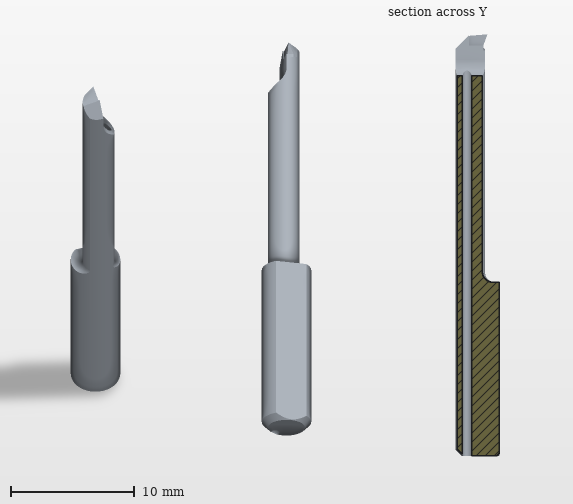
import cadquery as cq
import math

total_length = 34.0
margin = 3.0

shank_radius = 2.0
shank_length = 14.0
flat_x = -1.55
bottom_chamfer = 0.5

neck_x = 0.9
neck_radius = 1.29
root_fillet = 0.8

hole_diameter = 0.7
hole_x = 1.07
hole_y = 0.67

rake_y = 0.08
gullet_exit_z = 30.05
gullet_radius = 1.6
runout_angle = 45.0

top_relief_angle = 11.0
top_slope = 0.085
top_corner_x = 0.95
bevel_end_z = 32.8

tip_x = -0.58
flank_end_y = -0.84
flank_end_x = neck_x - math.sqrt(neck_radius**2 - flank_end_y**2)
notch_x = -0.27
undercut_z = 33.15
notch_floor_z = 32.7
notch_floor_slope = 0.4

cutting_edge_y = -0.02
chip_groove_end_x = 0.9
chip_groove_floor_z = 33.1


def make_shank():
    shank = cq.Workplane("XY").circle(shank_radius).extrude(shank_length)
    shank = shank.faces("<Z").chamfer(bottom_chamfer)
    flat_cut = cq.Workplane("XY").box(
        margin, 2 * margin, 2 * total_length, centered=(False, True, True)
    ).translate((flat_x - margin, 0, 0))
    return shank.cut(flat_cut)


def make_neck():
    """Revolved neck with its root fillet, trimmed to the shank diameter."""
    bend = root_fillet * (1 - math.sqrt(0.5))
    profile = (
        cq.Workplane("XZ")
        .moveTo(0, shank_length)
        .lineTo(neck_radius + root_fillet, shank_length)
        .threePointArc(
            (neck_radius + bend, shank_length + bend),
            (neck_radius, shank_length + root_fillet),
        )
        .lineTo(neck_radius, total_length)
        .lineTo(0, total_length)
        .close()
    )
    neck = profile.revolve(360, (0, 0, 0), (0, 1, 0)).translate((neck_x, 0, 0))
    envelope = cq.Workplane("XY").circle(shank_radius).extrude(total_length)
    return neck.intersect(envelope)


def make_gullet():
    """Vertical rake face, rounded into a 45 degree run-out, swept along X."""
    corner_z = gullet_exit_z + neck_radius - rake_y
    tangent = gullet_radius * math.tan(math.radians(runout_angle / 2))
    diagonal = tangent * math.cos(math.radians(runout_angle))
    end_y = neck_radius + margin
    return (
        cq.Workplane("YZ")
        .moveTo(rake_y, total_length + margin)
        .lineTo(rake_y, corner_z + tangent)
        .radiusArc((rake_y + diagonal, corner_z - diagonal), -gullet_radius)
        .lineTo(end_y, gullet_exit_z - margin)
        .lineTo(end_y, total_length + margin)
        .close()
        .extrude(2 * margin, both=True)
    )


def make_tooth_blank():
    """Block that carries the tip out past the neck surface."""
    height = total_length - undercut_z
    return cq.Workplane("XY").box(
        neck_x - tip_x, rake_y - flank_end_y, height, centered=False
    ).translate((tip_x, flank_end_y, undercut_z))


def make_notch():
    """Material removed beside and below the tooth, above the sloping floor."""
    outside_x = tip_x - margin
    top_z = total_length + margin
    flank_run = (flank_end_x - tip_x) / (cutting_edge_y - flank_end_y)
    beside_flank = (
        cq.Workplane("XY")
        .polyline([
            (tip_x, rake_y),
            (tip_x, cutting_edge_y),
            (tip_x + flank_run * margin, cutting_edge_y - margin),
            (outside_x, cutting_edge_y - margin),
            (outside_x, rake_y),
        ])
        .close()
        .extrude(top_z)
    )
    below_tip = (
        cq.Workplane("XZ")
        .polyline([
            (tip_x, top_z),
            (tip_x, total_length),
            (notch_x, undercut_z),
            (notch_x, 0),
            (outside_x, 0),
            (outside_x, top_z),
        ])
        .close()
        .extrude(margin, both=True)
    )
    above_floor = (
        cq.Workplane("YZ")
        .polyline([
            (margin, notch_floor_z - notch_floor_slope * margin),
            (-margin, notch_floor_z + notch_floor_slope * margin),
            (-margin, top_z),
            (margin, top_z),
        ])
        .close()
        .extrude(2 * margin, both=True)
    )
    return beside_flank.union(below_tip).intersect(above_floor)


def make_chip_groove():
    return cq.Workplane("XY").box(
        chip_groove_end_x - tip_x + margin, margin, margin, centered=False
    ).translate((tip_x - margin, cutting_edge_y, chip_groove_floor_z))


def make_top_cut():
    """Space above the top and the corner bevel, both falling towards -Y."""
    relief = math.tan(math.radians(top_relief_angle))
    corner_z = total_length - top_slope * (top_corner_x - tip_x)
    bevel_slope = (corner_z - bevel_end_z) / (shank_radius - top_corner_x)
    left_x = tip_x - margin
    right_x = shank_radius + margin
    ceiling_z = total_length + margin
    profile = [
        (left_x, total_length + top_slope * margin),
        (top_corner_x, corner_z),
        (right_x, corner_z - bevel_slope * (right_x - top_corner_x)),
        (right_x, ceiling_z),
        (left_x, ceiling_z),
    ]
    sweep = cq.Vector(0, -2 * margin, -2 * margin * relief)
    start = cq.Vector(0, margin, (margin - cutting_edge_y) * relief)
    outline = cq.Wire.makePolygon([cq.Vector(x, 0, z) + start for x, z in profile], close=True)
    return cq.Workplane(cq.Solid.extrudeLinear(outline, [], sweep))


def make_coolant_hole():
    return (
        cq.Workplane("XY")
        .center(hole_x, hole_y)
        .circle(hole_diameter / 2)
        .extrude(total_length)
    )


cutters = (make_gullet(), make_notch(), make_chip_groove(), make_top_cut(), make_coolant_hole())

result = make_shank().union(make_neck()).union(make_tooth_blank())
for cutter in cutters:
    result = result.cut(cutter)